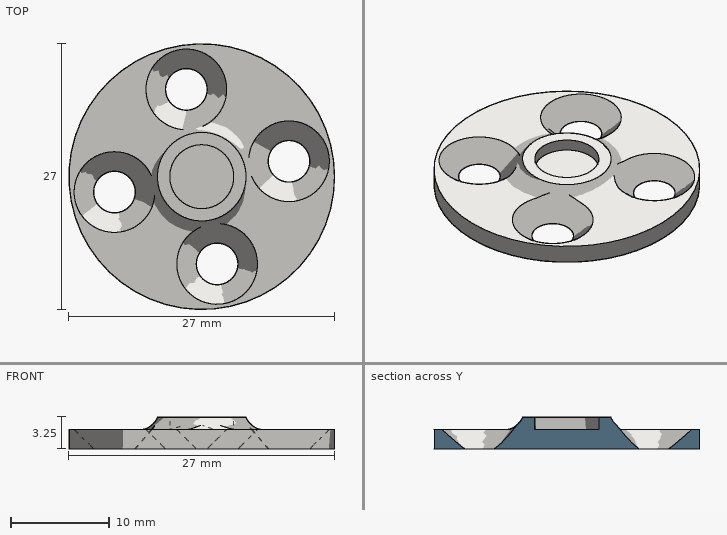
import cadquery as cq
import math

plate_diameter = 27.0
plate_thickness = 2.0
boss_diameter = 9.0
boss_height = 1.25
boss_fillet_radius = 2.0
pocket_diameter = 6.5
pocket_depth = boss_height
hole_count = 4
hole_circle_radius = 9.0
hole_start_angle = 10.0
hole_diameter = 4.2
countersink_diameter = 8.2
curve_segments = 24
cutter_clearance = 0.5
rim_overshoot = 0.05

plate_radius = plate_diameter / 2
boss_radius = boss_diameter / 2
hole_radius = hole_diameter / 2
countersink_radius = countersink_diameter / 2
total_height = plate_thickness + boss_height
cutter_top = total_height + cutter_clearance

flank_center_z = plate_thickness + boss_fillet_radius
flank_foot_radius = boss_radius + math.sqrt(boss_fillet_radius**2 - (flank_center_z - total_height)**2)


def flank_height(radius):
    """Height of the boss flank at a distance from the part axis."""
    inset = max(flank_foot_radius - radius, 0.0)
    return flank_center_z - math.sqrt(boss_fillet_radius**2 - inset**2)


def make_body():
    """Plate and flared boss, revolved about Z, with the round pocket in the boss."""
    foot_angle = math.acos((flank_center_z - total_height) / boss_fillet_radius)
    middle_radius = flank_foot_radius - boss_fillet_radius * math.sin(foot_angle / 2)
    profile = (
        cq.Workplane("XZ")
        .lineTo(plate_radius, 0)
        .lineTo(plate_radius, plate_thickness)
        .lineTo(flank_foot_radius, plate_thickness)
        .threePointArc((middle_radius, flank_height(middle_radius)), (boss_radius, total_height))
        .lineTo(0, total_height)
        .close()
    )
    body = profile.revolve(360, (0, 0, 0), (0, 1, 0))
    pocket = (
        cq.Workplane("XY")
        .workplane(offset=total_height - pocket_depth)
        .circle(pocket_diameter / 2)
        .extrude(pocket_depth)
    )
    return body.cut(pocket)


def rim_height(angle):
    """Height of the countersink rim: the plate top, or the boss flank where it overlaps."""
    x = hole_circle_radius + countersink_radius * math.cos(angle)
    y = countersink_radius * math.sin(angle)
    return flank_height(math.hypot(x, y))


def wall_point(angle, fraction):
    """Point on the countersink wall: fraction 0 is the bottom edge, 1 is the rim."""
    radius = hole_radius + fraction * (countersink_radius - hole_radius)
    x = hole_circle_radius + radius * math.cos(angle)
    y = radius * math.sin(angle)
    return cq.Vector(x, y, fraction * rim_height(angle))


def sector_edges(start, end):
    """Bottom, overshot rim and flat top edges of the cutter between two angles."""
    angles = [start + (end - start) * step / curve_segments for step in range(curve_segments + 1)]
    bottom_points = [wall_point(angle, 0) for angle in angles]
    rim_points = [wall_point(angle, 1 + rim_overshoot) for angle in angles]
    top_points = [cq.Vector(point.x, point.y, cutter_top) for point in rim_points]
    return [cq.Edge.makeSpline(points) for points in (bottom_points, rim_points, top_points)]


def make_countersink_cutter():
    """Cutter on the +X axis: straight-ruled from the bottom edge past the rim, then vertical."""
    overlap_cosine = (hole_circle_radius**2 + countersink_radius**2 - flank_foot_radius**2) / (
        2 * hole_circle_radius * countersink_radius
    )
    overlap = math.acos(overlap_cosine)
    sectors = [
        (math.pi - overlap, math.pi + overlap),
        (math.pi + overlap, 3 * math.pi - overlap),
    ]
    bottom_edges = []
    top_edges = []
    faces = []
    for start, end in sectors:
        bottom, rim, top = sector_edges(start, end)
        faces.append(cq.Face.makeRuledSurface(bottom, rim))
        faces.append(cq.Face.makeRuledSurface(rim, top))
        bottom_edges.append(bottom)
        top_edges.append(top)
    faces.append(cq.Face.makeFromWires(cq.Wire.assembleEdges(bottom_edges)))
    faces.append(cq.Face.makeFromWires(cq.Wire.assembleEdges(top_edges)))
    return cq.Solid.makeSolid(cq.Shell.makeShell(faces))


result = make_body()
countersink_cutter = make_countersink_cutter()
for index in range(hole_count):
    hole_angle = hole_start_angle + index * 360 / hole_count
    result = result.cut(cq.Workplane(countersink_cutter.rotate((0, 0, 0), (0, 0, 1), hole_angle)))